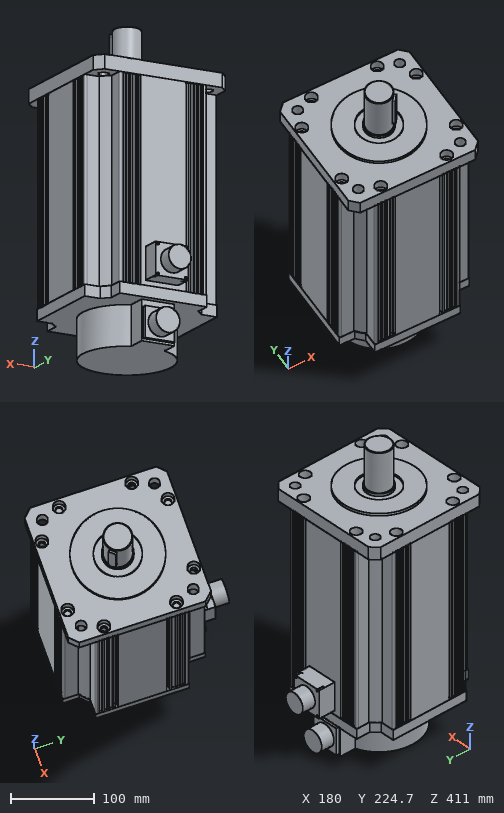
import cadquery as cq
import math


frame_width = 180.0
half_frame = frame_width / 2
corner_notch = 31.0
arm_width = frame_width - 2 * corner_notch

total_height = 411.0
cover_height = 51.8
end_plate_thickness = 15.0
stator_length = 261.5
flange_thickness = 18.5
pilot_height = 3.5

end_plate_bottom = cover_height
stator_bottom = end_plate_bottom + end_plate_thickness
flange_bottom = stator_bottom + stator_length
flange_top = flange_bottom + flange_thickness
pilot_top = flange_top + pilot_height

stator_core_radius = 92.0
stator_edge_fillet = 2.5
edge_groove_depth = 5.0
edge_groove = (31.0, 34.5)
edge_groove_floor_drop = 1.5
flat_groove_depth = 2.5
flat_grooves = [(37.0, 42.0), (44.5, 48.0), (50.5, 54.3)]

stator_screw_hole = (46.0, 78.0)
stator_screw_hole_radius = 4.5
stator_screw_hole_depth = 16.5

plate_core_width = 138.0
plate_core_chamfer = (plate_core_width - arm_width) / 2

flange_chamfer = 10.3
pilot_radius = 57.0
seal_recess_radius = 29.0
seal_recess_depth = 2.5
mount_hole_offset = 70.5
mount_hole_radius = 6.5
bolt_circle_radius = 92.0
through_bolt_angle = 15.6
blind_bolt_angle = -14.6
bolt_head_radius = 8.0
bolt_head_depth = 12.0
bolt_bore_radius = 4.5
blind_bore_depth = 16.5

shaft_radius = 17.5
shaft_chamfer = 1.0
collar_radius = 19.5
collar_height = 3.5
shaft_bottom = pilot_top - seal_recess_depth
key_angle = -39
key_width = 10.0
key_length = 50.0
key_bottom = 357.0
keyway_floor = 12.5
key_tip = 20.5

connector_x = 2.0
connector_width = 44.5
power_box_height = 42.0
power_box_length = 25.0
power_centre_z = 93.7
power_plug_radius = 15.2
power_plug_length = 19.7
screw_hole_offset = 19.0
screw_hole_radius = 1.45
screw_hole_depth = 10.0

cover_radius = 60.0
cover_block_end = 80.5
encoder_centre_z = 23.0
encoder_pad_size = 40.0
encoder_pad_thickness = 5.0
encoder_plug_radius = 16.0
encoder_plug_length = 19.7


def cross_prism(bottom, height):
    """Square bar with a square notch along each of its four upright corners."""
    along_x = cq.Workplane().box(frame_width, arm_width, height, centered=(True, True, False))
    along_y = cq.Workplane().box(arm_width, frame_width, height, centered=(True, True, False))
    return along_x.union(along_y).translate((0, 0, bottom))


def cylinder_along_y(x, y, z, radius, length):
    """Cylinder that starts at (x, y, z) and runs toward +Y."""
    return cq.Workplane(cq.Solid.makeCylinder(radius, length, cq.Vector(x, y, z), cq.Vector(0, 1, 0)))


def make_groove_set():
    """Grooves right of the middle of the +Y side, as one cutter along the stator."""
    start, end = edge_groove
    floor = half_frame - edge_groove_depth
    cutter = (
        cq.Workplane("XY", origin=(0, 0, stator_bottom))
        .polyline([
            (start, half_frame), (start, floor),
            (end, floor - edge_groove_floor_drop), (end, half_frame),
        ])
        .close()
        .extrude(stator_length)
    )
    for start, end in flat_grooves:
        groove = cq.Workplane().box(end - start, flat_groove_depth, stator_length, centered=False)
        cutter = cutter.add(groove.translate((start, half_frame - flat_groove_depth, stator_bottom)))
    return cutter.combine()


def make_stator():
    core = cq.Workplane().circle(stator_core_radius).extrude(stator_length)
    square = cq.Workplane().rect(frame_width, frame_width).extrude(stator_length)
    outer_edges = cross_prism(0, stator_length).edges("|Z").edges("<X or >X or <Y or >Y")
    body = outer_edges.fillet(stator_edge_fillet).union(core.intersect(square))
    body = body.translate((0, 0, stator_bottom))
    right_grooves = make_groove_set()
    left_grooves = right_grooves.mirror("YZ")
    screw_hole = (
        cq.Workplane("XY", origin=(*stator_screw_hole, flange_bottom))
        .circle(stator_screw_hole_radius)
        .extrude(-stator_screw_hole_depth)
    )
    for quarter in range(4):
        for grooves in (right_grooves, left_grooves):
            body = body.cut(grooves.rotate((0, 0, 0), (0, 0, 1), 90 * quarter))
        body = body.cut(screw_hole.rotate((0, 0, 0), (0, 0, 1), 90 * quarter))
    return body


def make_end_plate():
    core = (
        cq.Workplane("XY", origin=(0, 0, end_plate_bottom))
        .rect(plate_core_width, plate_core_width)
        .extrude(end_plate_thickness)
        .edges("|Z")
        .chamfer(plate_core_chamfer)
    )
    return cross_prism(end_plate_bottom, end_plate_thickness).union(core)


def bolt_points(angle_from_diagonal):
    """One bolt position per corner, turned about Z from the corner's diagonal."""
    angles = [math.radians(45 + 90 * corner + angle_from_diagonal) for corner in range(4)]
    return [(bolt_circle_radius * math.cos(a), bolt_circle_radius * math.sin(a)) for a in angles]


def make_flange():
    body = (
        cq.Workplane("XY", origin=(0, 0, flange_bottom))
        .rect(frame_width, frame_width)
        .extrude(flange_thickness)
        .edges("|Z")
        .chamfer(flange_chamfer)
    )
    top = cq.Workplane("XY", origin=(0, 0, flange_top))
    pilot = top.circle(pilot_radius).extrude(pilot_height)
    recess = top.workplane(offset=pilot_height).circle(seal_recess_radius).extrude(-seal_recess_depth)
    mount_holes = (
        top.rect(2 * mount_hole_offset, 2 * mount_hole_offset, forConstruction=True)
        .vertices()
        .circle(mount_hole_radius)
        .extrude(-flange_thickness)
    )
    body = body.union(pilot).cut(recess).cut(mount_holes)
    for angle, bore_depth in (
        (through_bolt_angle, flange_thickness),
        (blind_bolt_angle, blind_bore_depth),
    ):
        points = bolt_points(angle)
        body = body.cut(top.pushPoints(points).circle(bolt_head_radius).extrude(-bolt_head_depth))
        body = body.cut(top.pushPoints(points).circle(bolt_bore_radius).extrude(-bore_depth))
    return body


def make_key():
    """Round-ended key standing radially out of the shaft."""
    key = (
        cq.Workplane("YZ", origin=(keyway_floor, 0, key_bottom + key_length / 2))
        .slot2D(key_length, key_width, 90)
        .extrude(key_tip - keyway_floor)
    )
    return key.rotate((0, 0, 0), (0, 0, 1), key_angle)


def make_shaft(key):
    base = cq.Workplane("XY", origin=(0, 0, shaft_bottom))
    journal = base.circle(shaft_radius).extrude(total_height - shaft_bottom)
    journal = journal.faces(">Z").chamfer(shaft_chamfer)
    collar = base.circle(collar_radius).extrude(collar_height)
    return journal.union(collar).cut(key)


def make_power_connector():
    box = (
        cq.Workplane("XZ", origin=(connector_x, half_frame, power_centre_z))
        .rect(connector_width, power_box_height)
        .extrude(-power_box_length)
    )
    box_end = half_frame + power_box_length
    plug = cylinder_along_y(connector_x, box_end, power_centre_z, power_plug_radius, power_plug_length)
    connector = box.union(plug)
    for side in (-1, 1):
        for level in (-1, 1):
            hole = cylinder_along_y(
                connector_x + side * screw_hole_offset,
                box_end - screw_hole_depth,
                power_centre_z + level * screw_hole_offset,
                screw_hole_radius,
                screw_hole_depth,
            )
            connector = connector.cut(hole)
    return connector


def make_encoder_cover():
    drum = cq.Workplane().circle(cover_radius).extrude(cover_height)
    block = cq.Workplane().box(connector_width, cover_block_end, cover_height, centered=(True, False, False))
    return drum.union(block.translate((connector_x, 0, 0)))


def make_encoder_connector():
    pad = (
        cq.Workplane("XZ", origin=(connector_x, cover_block_end, encoder_centre_z))
        .rect(encoder_pad_size, encoder_pad_size)
        .extrude(-encoder_pad_thickness)
    )
    pad_end = cover_block_end + encoder_pad_thickness
    plug = cylinder_along_y(
        connector_x, pad_end, encoder_centre_z, encoder_plug_radius, encoder_plug_length
    )
    return pad.union(plug)


stator = make_stator()
end_plate = make_end_plate()
flange = make_flange()
key = make_key()
shaft = make_shaft(key)
power_connector = make_power_connector()
encoder_cover = make_encoder_cover()
encoder_connector = make_encoder_connector()

result = cq.Compound.makeCompound([
    stator.val(),
    end_plate.val(),
    flange.val(),
    shaft.val(),
    key.val(),
    power_connector.val(),
    encoder_cover.val(),
    encoder_connector.val(),
])